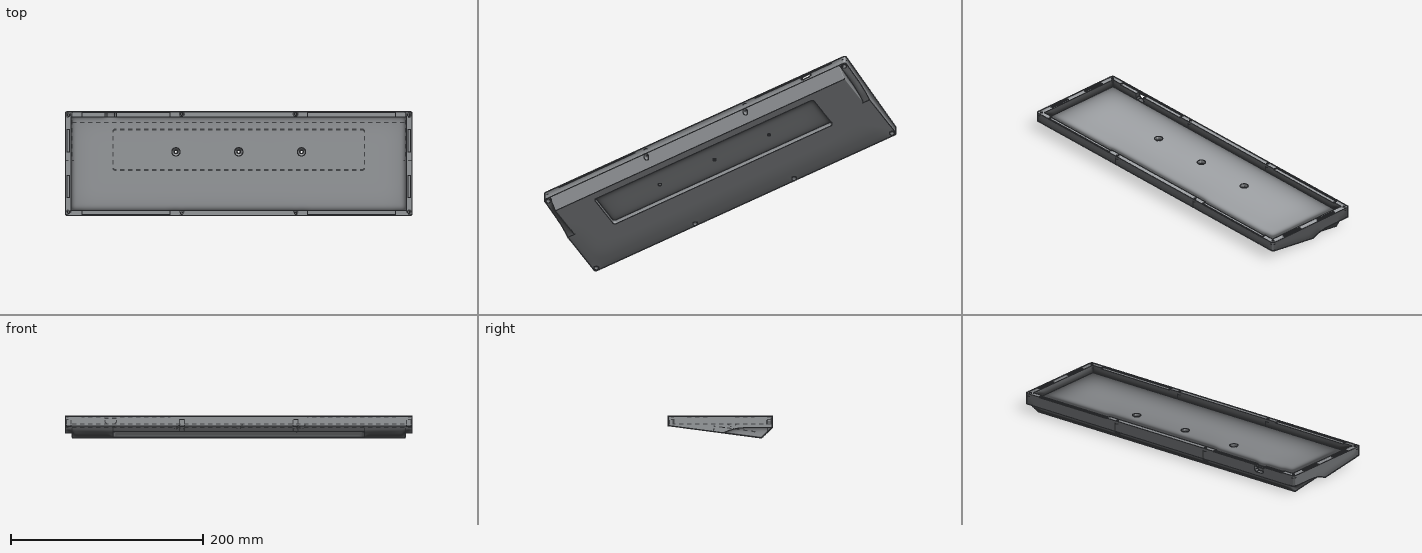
import cadquery as cq
import math

length = 360.5
width = 108.2
height = 22.7
corner_radius = 2.5

slope_angle = 7.5
keel_y = 43.0
rear_edge_z = 10.8

long_wall = 5.5
end_wall = 6.0
floor_z = 14.5

keel_half_length = 173.0
keel_edge_radius = 1.0
relief_arc_start_y = 26.5
relief_arc_radius = 50.5
relief_arc_sweep = 45.0

rabbet_length = 91.2
rabbet_center_x = 117.2
rabbet_lip = 1.0
rabbet_depth = 1.0

slot_length = 23.0
slot_width = 2.5
slot_depth = 1.0
slot_inset = 3.0
slot_center_y = 23.8

screw_diameter = 2.0
screw_head_diameter = 5.0
screw_land = 3.2
corner_screw_inset = 3.5
mid_screw_inset = 2.6
mid_screw_x = 59.0

notch_x = -133.0
notch_width = 11.5
notch_chamfer = 1.8
notch_sill = 0.5
notch_bridge_height = 2.0

pocket_length = 261.8
pocket_width = 42.5
pocket_depth = 5.8
pocket_corner_radius = 3.0
pocket_center_y = 14.0
mount_spacing = 65.3
mount_y = 12.3
mount_diameter = 3.3
mount_head_diameter = 8.5

slope = math.tan(math.radians(slope_angle))
half_length = length / 2
half_width = width / 2


def slope_z(y):
    """Height of the sloped underside at a given y."""
    return (keel_y - y) * slope


def extruded_along_x(outline, x_start, x_end):
    """Solid with a Y-Z outline reaching from x_start to x_end."""
    return outline.extrude(x_end - x_start).translate((x_start, 0, 0))


def tray_body():
    outline = cq.Workplane("YZ").polyline([
        (-half_width, height),
        (half_width, height),
        (half_width, rear_edge_z),
        (keel_y, 0),
        (-half_width, slope_z(-half_width)),
    ]).close()
    body = extruded_along_x(outline, -half_length, half_length)
    rounded = (
        cq.Workplane("XY")
        .rect(length, width)
        .extrude(height)
        .edges("|Z")
        .fillet(corner_radius)
    )
    return body.intersect(rounded)


def interior():
    return (
        cq.Workplane("XY", origin=(0, 0, floor_z))
        .rect(length - 2 * end_wall, width - 2 * long_wall)
        .extrude(height - floor_z)
    )


def end_relief(side):
    """Cut below one end: flat ceiling that curves down past the sloped underside."""
    sweep = math.radians(relief_arc_sweep)
    mid_y = relief_arc_start_y - relief_arc_radius * math.sin(sweep / 2)
    mid_z = rear_edge_z - relief_arc_radius * (1 - math.cos(sweep / 2))
    end_y = relief_arc_start_y - relief_arc_radius * math.sin(sweep)
    end_z = rear_edge_z - relief_arc_radius * (1 - math.cos(sweep))
    outline = (
        cq.Workplane("YZ")
        .moveTo(half_width, rear_edge_z)
        .lineTo(relief_arc_start_y, rear_edge_z)
        .threePointArc((mid_y, mid_z), (end_y, end_z))
        .lineTo(half_width, end_z)
        .close()
    )
    start, end = sorted((side * keel_half_length, side * half_length))
    return extruded_along_x(outline, start, end)


def keel_end_edges(side):
    """Selects the two lower edges of one keel end face: along the slope and along the bevel."""
    margin = 0.5
    end_x = side * keel_half_length
    return cq.selectors.BoxSelector(
        (end_x - margin, 0, -margin),
        (end_x + margin, half_width, rear_edge_z / 2 + margin),
    )


def rim_rabbets():
    rabbet_width = long_wall - rabbet_lip
    center_y = half_width - long_wall + rabbet_width / 2
    return (
        cq.Workplane("XY", origin=(0, 0, height - rabbet_depth))
        .rect(2 * rabbet_center_x, 2 * center_y, forConstruction=True)
        .vertices()
        .rect(rabbet_length, rabbet_width)
        .extrude(rabbet_depth)
    )


def rim_slots():
    return (
        cq.Workplane("XY", origin=(0, 0, height - slot_depth))
        .rect(length - 2 * slot_inset, 2 * slot_center_y, forConstruction=True)
        .vertices()
        .rect(slot_width, slot_length)
        .extrude(slot_depth)
    )


def rim_screw_holes():
    corner_x = half_length - corner_screw_inset
    corner_y = half_width - corner_screw_inset
    mid_y = half_width - mid_screw_inset
    points = [
        (side_x * x, side_y * y)
        for x, y in ((corner_x, corner_y), (mid_screw_x, mid_y))
        for side_x in (-1, 1)
        for side_y in (-1, 1)
    ]
    bore = cq.Workplane("XY").pushPoints(points)
    shanks = bore.circle(screw_diameter / 2).extrude(height)
    heads = bore.circle(screw_head_diameter / 2).extrude(height - screw_land)
    return shanks.union(heads)


def cable_notch():
    """Gap with chamfered bottom corners in the rear wall, bridged by the thin lip at the top."""
    sill_z = floor_z + notch_sill
    gap = (
        cq.Workplane("XY", origin=(notch_x, half_width - long_wall / 2, sill_z))
        .rect(notch_width, long_wall)
        .extrude(height - sill_z)
        .edges("|Y and <Z")
        .chamfer(notch_chamfer)
    )
    bridge = (
        cq.Workplane("XY", origin=(notch_x, half_width - rabbet_lip / 2, height - notch_bridge_height))
        .rect(notch_width, rabbet_lip)
        .extrude(notch_bridge_height)
    )
    return gap.cut(bridge)


def underside_plane(y):
    """Workplane lying on the sloped underside, its normal pointing into the part."""
    return cq.Workplane(cq.Plane(
        origin=(0, y, slope_z(y)),
        xDir=(1, 0, 0),
        normal=(0, slope, 1),
    ))


def underside_pocket():
    along_depth = cq.selectors.ParallelDirSelector(cq.Vector(0, slope, 1))
    return (
        underside_plane(pocket_center_y)
        .rect(pocket_length, pocket_width)
        .extrude(pocket_depth)
        .edges(along_depth)
        .fillet(pocket_corner_radius)
    )


def mount_holes():
    """Through holes with 45-degree countersinks opening at the interior floor."""
    countersink_angle = 45
    countersink_depth = (mount_head_diameter - mount_diameter) / 2
    points = [(i * mount_spacing, mount_y) for i in (-1, 0, 1)]
    shanks = (
        cq.Workplane("XY")
        .pushPoints(points)
        .circle(mount_diameter / 2)
        .extrude(height)
    )
    heads = (
        cq.Workplane("XY", origin=(0, 0, floor_z))
        .pushPoints(points)
        .circle(mount_head_diameter / 2)
        .extrude(-countersink_depth, taper=countersink_angle)
    )
    return shanks.union(heads)


result = tray_body().cut(interior())
for side in (-1, 1):
    result = result.cut(end_relief(side))
    result = result.edges(keel_end_edges(side)).fillet(keel_edge_radius)
result = result.cut(rim_rabbets())
result = result.cut(rim_slots())
result = result.cut(rim_screw_holes())
result = result.cut(cable_notch())
result = result.cut(underside_pocket())
result = result.cut(mount_holes())